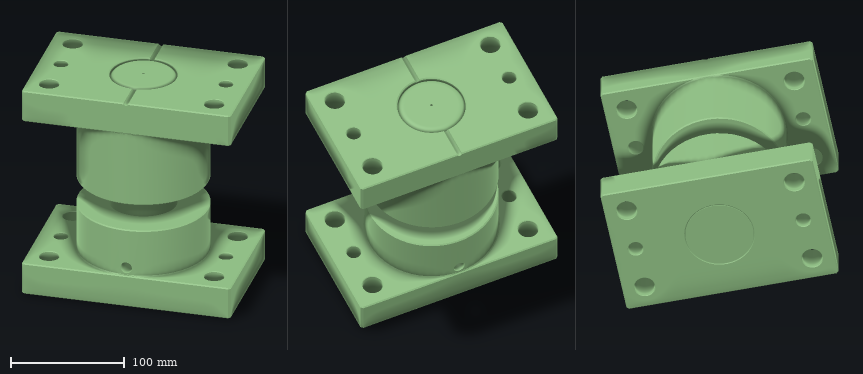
import cadquery as cq
import math

length = 190.0
width = 120.0
height = 200.0

edge_break = 1.0

plate_thickness = 30.0
plate_corner_chamfer = 2.0

boss_radius = 118.0 / 2
lower_boss_top = 75.0
upper_boss_bottom = 100.0
root_fillet = 1.0

mounting_x = 75.0
bolt_y = 40.0
bolt_diameter = 18.0
dowel_diameter = 13.0
mounting_chamfer = 0.5

pillar_radius = 60.0 / 2
pillar_top_fillet = 6.0
center_mark_diameter = 2.5
center_mark_depth = 2.0

groove_radius = 2.2

radial_hole_diameter = 10.5
radial_hole_z = 37.5


def make_plate():
    """Chamfered rectangular plate standing on the XY plane."""
    plate = cq.Workplane("XY").box(length, width, plate_thickness, centered=(True, True, False))
    plate = plate.edges("|Z").chamfer(plate_corner_chamfer)
    return plate.faces("<Z or >Z").chamfer(edge_break)


def make_boss(top):
    """Boss from mid-plate up to the given height, with a chamfered free end."""
    start = plate_thickness / 2
    boss = cq.Workplane("XY").workplane(offset=start).circle(boss_radius).extrude(top - start)
    return boss.faces(">Z").chamfer(edge_break)


def make_root():
    """Concave fillet ring where a boss meets its plate, cut off at the plate's flat face."""
    foot_radius = boss_radius + root_fillet
    root_top = plate_thickness + root_fillet
    arc_center = (foot_radius, root_top)
    arc_offset = root_fillet * math.cos(math.radians(45))
    arc_middle = (arc_center[0] - arc_offset, arc_center[1] - arc_offset)
    ring = (
        cq.Workplane("XZ")
        .moveTo(pillar_radius, plate_thickness)
        .lineTo(foot_radius, plate_thickness)
        .threePointArc(arc_middle, (boss_radius, root_top))
        .lineTo(pillar_radius, root_top)
        .close()
        .revolve(360, (0, 0, 0), (0, 1, 0))
    )
    flat_face = cq.Workplane("XY").box(length - 2 * edge_break, width - 2 * edge_break, 2 * root_top)
    return ring.intersect(flat_face)


def chamfered_hole(bottom, top, radius, chamfer):
    """Cutter for a hole along Z, widened by a chamfer at both mouths."""
    mouth_radius = radius + chamfer
    profile = [
        (0, bottom),
        (mouth_radius, bottom),
        (radius, bottom + chamfer),
        (radius, top - chamfer),
        (mouth_radius, top),
        (0, top),
    ]
    return cq.Workplane("XZ").polyline(profile).close().revolve(360, (0, 0, 0), (0, 1, 0))


def make_block(top):
    """Plate with a bored boss rising to the given height and all mounting holes."""
    block = make_plate().union(make_boss(top)).union(make_root())
    block = block.cut(chamfered_hole(0, top, pillar_radius, edge_break))
    dowel_hole = chamfered_hole(0, plate_thickness, dowel_diameter / 2, mounting_chamfer)
    bolt_hole = chamfered_hole(0, plate_thickness, bolt_diameter / 2, mounting_chamfer)
    for x in (-mounting_x, mounting_x):
        block = block.cut(dowel_hole.translate((x, 0, 0)))
        for y in (-bolt_y, bolt_y):
            block = block.cut(bolt_hole.translate((x, y, 0)))
    return block


def make_lower_block():
    """Block with its plate at the bottom and the radial hole on its -Y side."""
    radial_hole = (
        cq.Workplane("XZ", origin=(0, 0, radial_hole_z))
        .circle(radial_hole_diameter / 2)
        .extrude(width / 2)
    )
    return make_block(lower_boss_top).cut(radial_hole)


def make_upper_block():
    """Block turned upside down at the top, with the vent groove across its plate."""
    block = make_block(height - upper_boss_bottom)
    block = block.rotate((0, 0, 0), (1, 0, 0), 180).translate((0, 0, height))
    groove = (
        cq.Workplane("XZ", origin=(0, 0, height))
        .moveTo(-groove_radius, 0)
        .threePointArc((0, -groove_radius), (groove_radius, 0))
        .close()
        .extrude(width, both=True)
    )
    return block.cut(groove)


def make_pillar():
    """Guide pillar with a rounded top edge and a small center mark."""
    pillar = cq.Workplane("XY").circle(pillar_radius).extrude(height)
    pillar = pillar.faces(">Z").edges().fillet(pillar_top_fillet)
    return pillar.faces(">Z").workplane().hole(center_mark_diameter, center_mark_depth)


lower_block = make_lower_block()
upper_block = make_upper_block()
pillar = make_pillar()

bodies = [body.solids().val() for body in (lower_block, upper_block, pillar)]
result = cq.Compound.makeCompound(bodies)